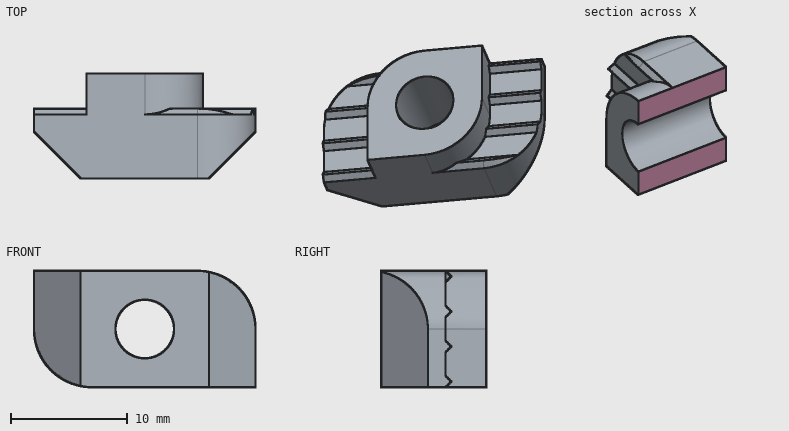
import cadquery as cq

head_length = 19.0
neck_length = 10.0
nut_height = 10.0
corner_radius = nut_height / 2

head_depth = 5.5
total_depth = 9.0
head_chamfer = 4.0
bore_diameter = 5.0

tooth_height = 0.5
tooth_half_width = tooth_height
tooth_pitch = 3.0
tooth_count = 4

tooth_tip_y = head_depth + tooth_height
half_height = nut_height / 2


def rounded_bar(length, depth):
    """Bar from Y = 0 to depth, rounded at the (+X, +Z) and (-X, -Z) corners so it can turn in its slot."""
    half_length = length / 2
    arc_mid = corner_radius * (1 - 0.5 ** 0.5)
    return (
        cq.Workplane("XZ")
        .moveTo(-half_length, half_height)
        .lineTo(half_length - corner_radius, half_height)
        .threePointArc(
            (half_length - arc_mid, half_height - arc_mid),
            (half_length, half_height - corner_radius),
        )
        .lineTo(half_length, -half_height)
        .lineTo(corner_radius - half_length, -half_height)
        .threePointArc(
            (arc_mid - half_length, arc_mid - half_height),
            (-half_length, corner_radius - half_height),
        )
        .close()
        .extrude(-depth)
    )


def toothed_profile():
    """Head outline in Y and Z, plain in front and toothed at the back, extruded over the head length."""
    points = [(0, -half_height)]
    for index in range(tooth_count):
        tip_z = (index - (tooth_count - 1) / 2) * tooth_pitch
        points.append((head_depth, tip_z - tooth_half_width))
        points.append((tooth_tip_y, tip_z))
        points.append((head_depth, tip_z + tooth_half_width))
    points.append((0, half_height))
    return cq.Workplane("YZ").polyline(points).close().extrude(head_length / 2, both=True)


def chamfered_plan():
    """Head seen along Z: full length at the back, 45 degree flanks running in to the front face."""
    half_length = head_length / 2
    front_half_length = half_length - head_chamfer
    return (
        cq.Workplane("XY")
        .polyline([
            (-front_half_length, 0),
            (front_half_length, 0),
            (half_length, head_chamfer),
            (half_length, tooth_tip_y),
            (-half_length, tooth_tip_y),
            (-half_length, head_chamfer),
        ])
        .close()
        .extrude(half_height, both=True)
    )


def corner_tooth_relief():
    """Ring sector that turns the outer flank of the end tooth into a cone around the (+X, +Z) corner."""
    corner_axis_x = head_length / 2 - corner_radius
    outer_radius = corner_radius + tooth_height
    ring = (
        cq.Workplane("XY")
        .polyline([
            (corner_axis_x + corner_radius, head_depth),
            (corner_axis_x + outer_radius, head_depth),
            (corner_axis_x + outer_radius, tooth_tip_y),
            (corner_axis_x + corner_radius - tooth_height, tooth_tip_y),
        ])
        .close()
        .revolve(360, (corner_axis_x, 0), (corner_axis_x, 1))
    )
    valley_z = (tooth_count - 2) / 2 * tooth_pitch
    sector = (
        cq.Workplane("XY")
        .box(outer_radius, total_depth, outer_radius, centered=False)
        .translate((corner_axis_x, 0, valley_z))
    )
    return ring.intersect(sector)


relief = corner_tooth_relief()
opposite_relief = relief.rotate((0, 0, 0), (0, 1, 0), 180)

head = rounded_bar(head_length, tooth_tip_y).intersect(toothed_profile()).intersect(chamfered_plan())
head = head.cut(relief).cut(opposite_relief)
neck = rounded_bar(neck_length, total_depth)
bore = cq.Workplane("XZ").circle(bore_diameter / 2).extrude(-total_depth)

result = head.union(neck).cut(bore)